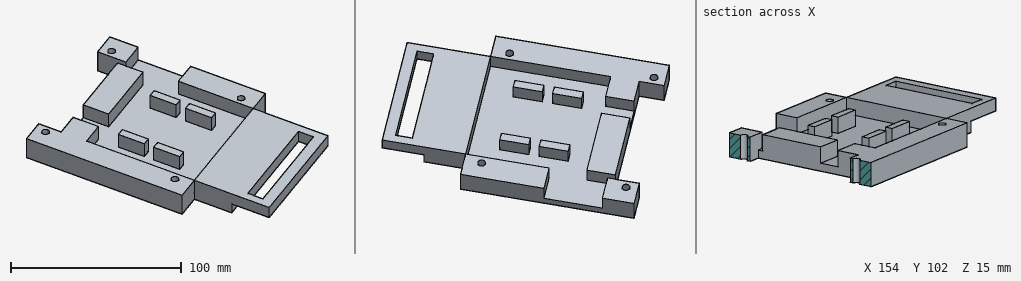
import cadquery as cq

height = 15.0
floor_thickness = 5.0
tray_length = 104.0
tray_width = 102.0
rail_width = 15.0
inner_width = tray_width - 2 * rail_width
inner_back = tray_width - rail_width

notch_depth = 15.0
left_block_length = 17.0
left_block_end = notch_depth + left_block_length
connector_width = 42.0
connector_gap = 3.0
front_step_width = 14.6

back_opening_start = 19.0
back_opening_end = 54.0

peg_length = 17.4
peg_width = 4.8
peg_starts_x = (45.5, 69.1)
peg_offset_from_rail = 14.1

tongue_length = 50.0
handle_length = 25.0
handle_thickness = 8.0
part_length = tray_length + tongue_length

slot_length = 62.0
slot_width = 10.0
slot_end_margin = 7.0

hole_diameter = 4.5
hole_centers_x = (7.0, 93.5)
hole_edge_distance = 10.5


def box(x_start, x_end, y_start, y_end, z_start, z_end):
    """Axis-aligned block between the given limits."""
    size = (x_end - x_start, y_end - y_start, z_end - z_start)
    return cq.Workplane("XY").box(*size, centered=False).translate((x_start, y_start, z_start))


def make_tray():
    """Full-height tray hollowed down to the floor, with an open left end and back opening."""
    tray = box(0, tray_length, 0, tray_width, 0, height)
    notch = box(0, notch_depth, rail_width, inner_back, 0, height)
    cavity = box(notch_depth, tray_length, rail_width, inner_back, floor_thickness, height)
    back_opening = box(
        back_opening_start, back_opening_end, inner_back, tray_width, floor_thickness, height
    )
    return tray.cut(notch).cut(cavity).cut(back_opening)


def make_left_blocks():
    """Connector block and the step beside the front rail, both flush with the rail tops."""
    connector_back = inner_back - connector_gap
    connector_front = connector_back - connector_width
    connector = box(notch_depth, left_block_end, connector_front, connector_back, 0, height)
    step_back = rail_width + front_step_width
    step = box(notch_depth, left_block_end, rail_width, step_back, 0, height)
    return connector, step


def make_pegs():
    """Two rows of support pegs as tall as the rails."""
    front_row = rail_width + peg_offset_from_rail
    back_row = inner_back - peg_offset_from_rail - peg_width
    return [
        box(x, x + peg_length, y, y + peg_width, 0, height)
        for x in peg_starts_x
        for y in (front_row, back_row)
    ]


def make_tongue():
    """Tongue whose end is thinned from below into a slotted handle."""
    tongue = box(tray_length, part_length, rail_width, inner_back, 0, height)
    relief = box(
        part_length - handle_length, part_length, rail_width, inner_back,
        0, height - handle_thickness,
    )
    slot_end = part_length - slot_end_margin
    slot_front = rail_width + (inner_width - slot_length) / 2
    slot = box(slot_end - slot_width, slot_end, slot_front, slot_front + slot_length, 0, height)
    return tongue.cut(relief).cut(slot)


def make_hole_cutters():
    """Through holes in the four rail corners."""
    centers = [
        (x, y)
        for x in hole_centers_x
        for y in (hole_edge_distance, tray_width - hole_edge_distance)
    ]
    return cq.Workplane("XY").pushPoints(centers).circle(hole_diameter / 2).extrude(height)


result = make_tray().union(make_tongue())
for block in (*make_left_blocks(), *make_pegs()):
    result = result.union(block)
result = result.cut(make_hole_cutters())